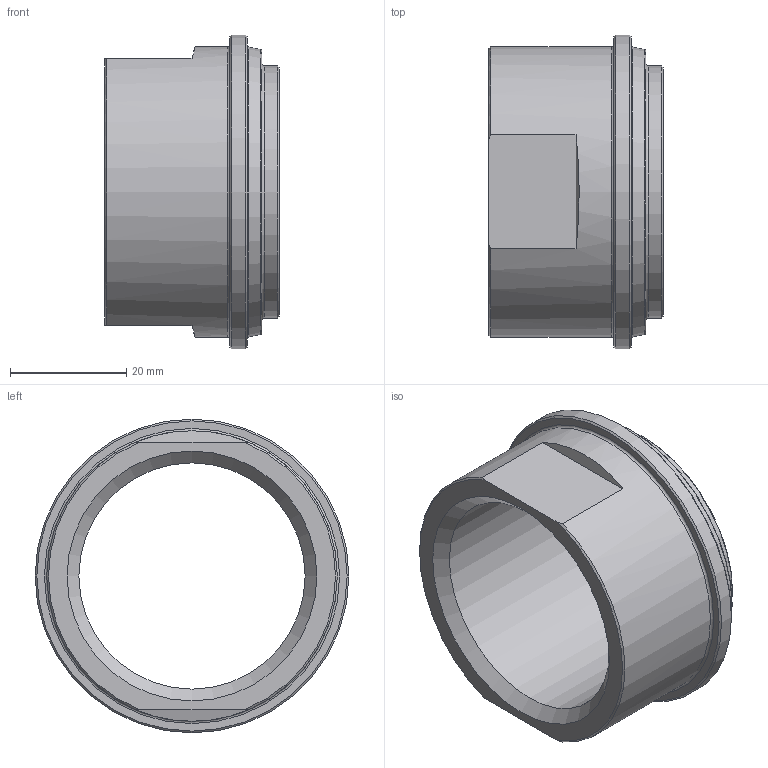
import cadquery as cq
import math

LENGTH = 30.0
BORE_DIAMETER = 38.95
EDGE_CHAMFER = 0.3
CORNER_RADIUS = 0.4

MOUTH_DIAMETER = 43.0
MOUTH_HALF_ANGLE = 45.0

BODY_DIAMETER = 50.0
FLAT_WIDTH = 46.0
FLAT_LENGTH = 15.0
FLAT_END_ANGLE = 15.0

FLANGE_DIAMETER = 54.0
FLANGE_START = 21.5
FLANGE_THICKNESS = 3.0

SHOULDER_LENGTH = 2.5
SHOULDER_HALF_ANGLE = 12.0
SHOULDER_RADIUS = 0.2

SPIGOT_DIAMETER = 43.5

EDGE_TOLERANCE = 0.001


def round_edge(solid, x, edge_radius, fillet_radius):
    """Round the circular edge of the given radius that lies at X = x."""
    def is_wanted(edge):
        at_x = abs(edge.Center().x - x) < EDGE_TOLERANCE
        return edge.geomType() == "CIRCLE" and at_x and abs(edge.radius() - edge_radius) < EDGE_TOLERANCE

    return solid.newObject(solid.edges().filter(is_wanted).vals()).fillet(fillet_radius)


def make_turned_body():
    """Revolve the outer half profile (X, radius) about the X axis and round its corners."""
    body_r = BODY_DIAMETER / 2
    flange_r = FLANGE_DIAMETER / 2
    spigot_r = SPIGOT_DIAMETER / 2
    flange_end = FLANGE_START + FLANGE_THICKNESS
    shoulder_end = flange_end + SHOULDER_LENGTH
    shoulder_end_r = body_r - SHOULDER_LENGTH * math.tan(math.radians(SHOULDER_HALF_ANGLE))

    profile = [
        (0, 0),
        (0, body_r - EDGE_CHAMFER),
        (EDGE_CHAMFER, body_r),
        (FLANGE_START, body_r),
        (FLANGE_START, flange_r - EDGE_CHAMFER),
        (FLANGE_START + EDGE_CHAMFER, flange_r),
        (flange_end - EDGE_CHAMFER, flange_r),
        (flange_end, flange_r - EDGE_CHAMFER),
        (flange_end, body_r),
        (shoulder_end, shoulder_end_r),
        (shoulder_end, spigot_r),
        (LENGTH - EDGE_CHAMFER, spigot_r),
        (LENGTH, spigot_r - EDGE_CHAMFER),
        (LENGTH, 0),
    ]
    body = cq.Workplane("XY").polyline(profile).close().revolve(360, (0, 0, 0), (1, 0, 0))

    body = round_edge(body, FLANGE_START, body_r, CORNER_RADIUS)
    body = round_edge(body, flange_end, body_r, SHOULDER_RADIUS)
    body = round_edge(body, shoulder_end, shoulder_end_r, SHOULDER_RADIUS)
    return round_edge(body, shoulder_end, spigot_r, CORNER_RADIUS)


def make_bore():
    """Through bore with its conical mouth at X = 0."""
    bore_r = BORE_DIAMETER / 2
    mouth_r = MOUTH_DIAMETER / 2
    mouth_depth = (mouth_r - bore_r) / math.tan(math.radians(MOUTH_HALF_ANGLE))
    return (
        cq.Workplane("XY")
        .polyline([(0, 0), (0, mouth_r), (mouth_depth, bore_r), (LENGTH, bore_r), (LENGTH, 0)])
        .close()
        .revolve(360, (0, 0, 0), (1, 0, 0))
    )


def make_flat_cutter():
    """Material removed above the upper flat, with its sloping end face."""
    flat_z = FLAT_WIDTH / 2
    body_r = BODY_DIAMETER / 2
    slope_run = (body_r - flat_z) * math.tan(math.radians(FLAT_END_ANGLE))
    return (
        cq.Workplane("XZ")
        .polyline([(0, flat_z), (FLAT_LENGTH, flat_z), (FLAT_LENGTH + slope_run, body_r), (0, body_r)])
        .close()
        .extrude(body_r, both=True)
    )


upper_flat = make_flat_cutter()
lower_flat = upper_flat.mirror("XY")
result = make_turned_body().cut(make_bore()).cut(upper_flat).cut(lower_flat)